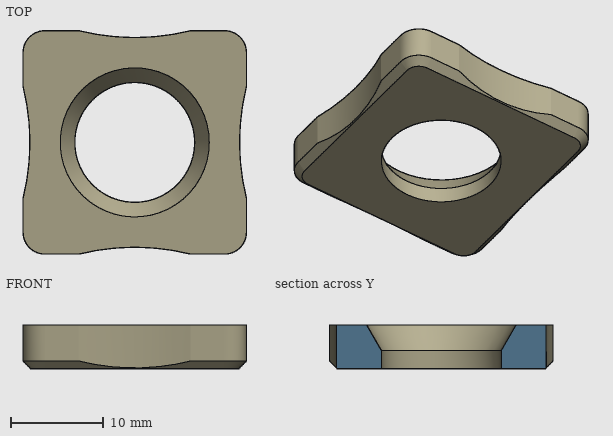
import cadquery as cq
import math

side = 24.3
thickness = 4.76
corner_radius = 2.4
chamfer = 0.85
bore_diameter = 13.0
mouth_diameter = 16.2
mouth_angle = 60.0
recess_width = 12.15
recess_depth = 0.75

half_side = side / 2
mouth_depth = (mouth_diameter - bore_diameter) / 2 / math.tan(math.radians(mouth_angle / 2))


def make_plate():
    """Rounded square plate resting on Z = 0, chamfered around its bottom edge."""
    plate = cq.Workplane("XY").rect(side, side).extrude(thickness)
    plate = plate.edges("|Z").fillet(corner_radius)
    return plate.faces("<Z").chamfer(chamfer)


def make_bore():
    """Through bore with a conical mouth that opens at the top face."""
    bore = cq.Workplane("XY").circle(bore_diameter / 2).extrude(thickness)
    mouth = cq.Workplane(
        cq.Solid.makeCone(
            bore_diameter / 2,
            mouth_diameter / 2,
            mouth_depth,
            pnt=cq.Vector(0, 0, thickness - mouth_depth),
        )
    )
    return bore.union(mouth)


def make_recess(angle):
    """Shallow arc-shaped scoop in the middle of the side facing the given angle."""
    scoop = (
        cq.Workplane("XY")
        .moveTo(half_side, -recess_width / 2)
        .threePointArc((half_side - recess_depth, 0), (half_side, recess_width / 2))
        .close()
        .extrude(thickness)
    )
    return scoop.rotate((0, 0, 0), (0, 0, 1), angle)


result = make_plate().cut(make_bore())
for side_angle in (0, 90, 180, 270):
    result = result.cut(make_recess(side_angle))